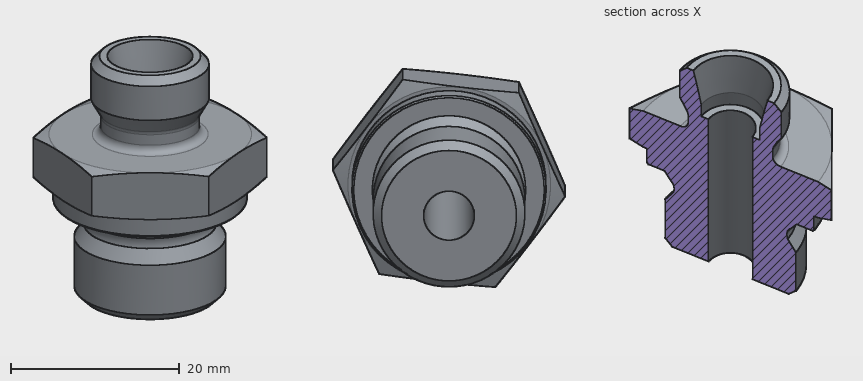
import cadquery as cq
import math

total_height = 30.5
hex_bottom = 14.5
hex_height = 6.0
hex_top = hex_bottom + hex_height
hex_across_flats = 24.0
hex_chamfer_angle = math.radians(15)
corner_clearance = 0.3

collar_diameter = 23.0
collar_height = 2.5
collar_bottom = hex_bottom - collar_height
collar_chamfer = 0.2

thread_chamfer = 1.0
lower_radius = 18.0 / 2
lower_thread_top = 7.38
groove_radius = 7.87
groove_arc_bottom = 9.05
groove_arc_top = 10.35
groove_arc_sag = 0.1
groove_mouth_radius = 9.1

upper_radius = 14.0 / 2
upper_thread_bottom = 25.13
neck_radius = 11.7 / 2
neck_fillet = 1.0
neck_top = 22.85
runout_bottom = 23.27
runout_radius = 5.95
runout_bend = 0.03

bore_diameter = 6.0
socket_diameter = 8.0
socket_depth = 7.0
socket_mouth_diameter = 10.13
taper_half_angle = math.radians(12)
taper_depth = (socket_mouth_diameter - socket_diameter) / 2 / math.tan(taper_half_angle)


def revolve_about_z(profile):
    return profile.close().revolve(360, (0, 0, 0), (0, 1, 0))


def make_turned_body():
    collar_radius = collar_diameter / 2
    fillet_offset = neck_fillet * (1 - math.sqrt(0.5))
    profile = (
        cq.Workplane("XZ")
        .lineTo(lower_radius - thread_chamfer, 0)
        .lineTo(lower_radius, thread_chamfer)
        .lineTo(lower_radius, lower_thread_top)
        .lineTo(groove_radius, groove_arc_bottom)
        .threePointArc(
            (groove_radius - groove_arc_sag, (groove_arc_bottom + groove_arc_top) / 2),
            (groove_radius, groove_arc_top),
        )
        .lineTo(groove_mouth_radius, collar_bottom)
        .lineTo(collar_radius - collar_chamfer, collar_bottom)
        .lineTo(collar_radius, collar_bottom + collar_chamfer)
        .lineTo(collar_radius, hex_top)
        .lineTo(neck_radius + neck_fillet, hex_top)
        .threePointArc(
            (neck_radius + fillet_offset, hex_top + fillet_offset),
            (neck_radius, hex_top + neck_fillet),
        )
        .lineTo(neck_radius, neck_top)
        .threePointArc(
            (neck_radius + runout_bend, (neck_top + runout_bottom) / 2),
            (runout_radius, runout_bottom),
        )
        .lineTo(upper_radius, upper_thread_bottom)
        .lineTo(upper_radius, total_height - thread_chamfer)
        .lineTo(upper_radius - thread_chamfer, total_height)
        .lineTo(0, total_height)
    )
    return revolve_about_z(profile)


def make_hexagon():
    """Hexagon with flats facing X, its corners turned off conically on both faces."""
    flat_radius = hex_across_flats / 2
    corner_radius = flat_radius / math.cos(math.pi / 6)
    prism = (
        cq.Workplane("XY", origin=(0, 0, hex_bottom))
        .transformed(rotate=(0, 0, 30))
        .polygon(6, 2 * corner_radius)
        .extrude(hex_height)
    )
    envelope_radius = corner_radius + corner_clearance
    cone_drop = (envelope_radius - flat_radius) * math.tan(hex_chamfer_angle)
    envelope = revolve_about_z(
        cq.Workplane("XZ")
        .moveTo(0, hex_bottom)
        .lineTo(flat_radius, hex_bottom)
        .lineTo(envelope_radius, hex_bottom + cone_drop)
        .lineTo(envelope_radius, hex_top - cone_drop)
        .lineTo(flat_radius, hex_top)
        .lineTo(0, hex_top)
    )
    return prism.intersect(envelope)


def make_bore():
    profile = (
        cq.Workplane("XZ")
        .lineTo(bore_diameter / 2, 0)
        .lineTo(bore_diameter / 2, total_height - socket_depth)
        .lineTo(socket_diameter / 2, total_height - socket_depth)
        .lineTo(socket_diameter / 2, total_height - taper_depth)
        .lineTo(socket_mouth_diameter / 2, total_height)
        .lineTo(0, total_height)
    )
    return revolve_about_z(profile)


result = make_turned_body().union(make_hexagon()).cut(make_bore())